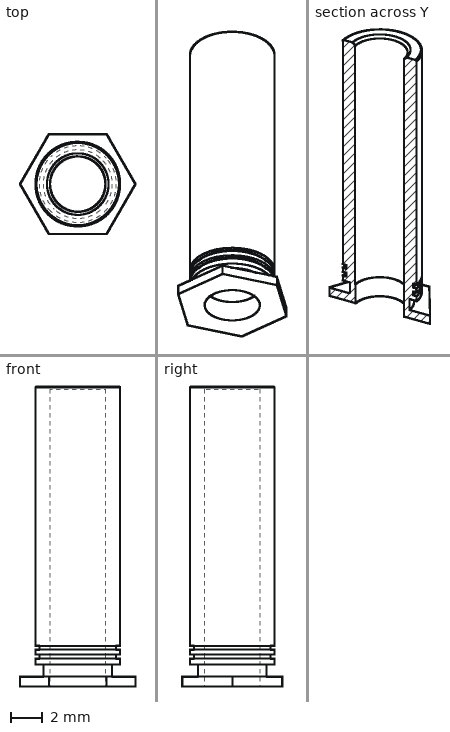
import cadquery as cq
import math

HEAD_ACROSS_FLATS = 6.35
HEAD_ACROSS_CORNERS = HEAD_ACROSS_FLATS / math.cos(math.pi / 6)
HEAD_THICKNESS = 0.635

TOTAL_HEIGHT = 19.05
BODY_DIAMETER = 5.38
BODY_EDGE_CHAMFER = 0.076

NECK_DIAMETER = 4.37
NECK_TOP = 1.397

GROOVE_DIAMETER = 4.88
GROOVE_WIDTH = 0.25
FIRST_GROOVE_BOTTOM = 1.78
GROOVE_PITCH = 0.57
GROOVE_COUNT = 2

BORE_DIAMETER = 3.53
LOWER_BORE_DIAMETER = 3.5
LOWER_BORE_TOP = NECK_TOP
MOUTH_DIAMETER = 3.91
MOUTH_CHAMFER = (MOUTH_DIAMETER - BORE_DIAMETER) / 2


def cylinder(diameter, bottom, top):
    """Solid cylinder on the Z axis between two heights."""
    return cq.Workplane("XY").workplane(offset=bottom).circle(diameter / 2).extrude(top - bottom)


def hex_head():
    """Hexagonal plate with two corners on the X axis."""
    return cq.Workplane("XY").polygon(6, HEAD_ACROSS_CORNERS).extrude(HEAD_THICKNESS)


def grooved_body():
    """Cylindrical body with its top edge broken and its grooves cut."""
    body = cylinder(BODY_DIAMETER, NECK_TOP, TOTAL_HEIGHT)
    body = body.faces(">Z").edges().chamfer(BODY_EDGE_CHAMFER)
    for index in range(GROOVE_COUNT):
        bottom = FIRST_GROOVE_BOTTOM + index * GROOVE_PITCH
        top = bottom + GROOVE_WIDTH
        ring = cylinder(BODY_DIAMETER, bottom, top).cut(cylinder(GROOVE_DIAMETER, bottom, top))
        body = body.cut(ring)
    return body


def stepped_bore():
    """Cutting tool for the stepped through bore and its conical mouth."""
    bore_radius = BORE_DIAMETER / 2
    lower_radius = LOWER_BORE_DIAMETER / 2
    profile = [
        (0, 0),
        (lower_radius, 0),
        (lower_radius, LOWER_BORE_TOP),
        (bore_radius, LOWER_BORE_TOP),
        (bore_radius, TOTAL_HEIGHT - MOUTH_CHAMFER),
        (MOUTH_DIAMETER / 2, TOTAL_HEIGHT),
        (0, TOTAL_HEIGHT),
    ]
    return cq.Workplane("XZ").polyline(profile).close().revolve(360, (0, 0), (0, 1))


neck = cylinder(NECK_DIAMETER, HEAD_THICKNESS, NECK_TOP)
result = hex_head().union(neck).union(grooved_body()).cut(stepped_bore())